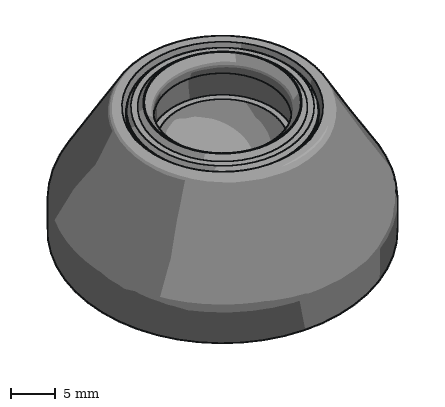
import cadquery as cq
import math

BASE_RADIUS = 19.5
BASE_HEIGHT = 5.0
BASE_FILLET = 2.0
TOP_RADIUS = 12.5
TOP_FACE_Z = 18.0
TOP_FILLET = 1.0

RIM_HEIGHT = 0.6
RIM_BOTTOM_RADIUS = 9.45
RIM_CREST_OUTER_RADIUS = 8.83
RIM_CREST_INNER_RADIUS = 8.7

GROOVE_OUTER_RADIUS = 11.2
GROOVE_FLOOR_OUTER_RADIUS = 10.77
GROOVE_FLOOR_INNER_RADIUS = 10.67
GROOVE_INNER_RADIUS = 10.2
GROOVE_CHAMFER_DEPTH = 0.5
GROOVE_DEPTH = 0.9

MOUTH_HALF_ANGLE = 45.0
THROAT_RADIUS = 7.67
THROAT_FILLET = 1.0
THROAT_BOTTOM_Z = 16.4
CHAMBER_RADIUS = 8.1
CHAMBER_FLOOR_Z = 12.9
SEAT_EDGE_RADIUS = 7.35
SEAT_SPHERE_RADIUS = 8.0

RIM_TOP_Z = TOP_FACE_Z + RIM_HEIGHT


def revolve(profile):
    """Turn a closed (radius, z) profile fully about the Z axis."""
    return profile.close().revolve(360, (0, 0, 0), (0, 1, 0))


def make_body():
    outline = (
        cq.Workplane("XZ")
        .lineTo(BASE_RADIUS, 0)
        .lineTo(BASE_RADIUS, BASE_HEIGHT)
        .lineTo(TOP_RADIUS, TOP_FACE_Z)
        .lineTo(0, TOP_FACE_Z)
    )
    body = revolve(outline)
    body = body.faces(">Z").edges().fillet(TOP_FILLET)
    shoulder = cq.selectors.NearestToPointSelector((0, 0, BASE_HEIGHT))
    return body.edges(shoulder).fillet(BASE_FILLET)


def make_rim():
    outline = (
        cq.Workplane("XZ")
        .moveTo(0, TOP_FACE_Z)
        .lineTo(RIM_BOTTOM_RADIUS, TOP_FACE_Z)
        .lineTo(RIM_CREST_OUTER_RADIUS, RIM_TOP_Z)
        .lineTo(0, RIM_TOP_Z)
    )
    return revolve(outline)


def make_groove():
    outline = (
        cq.Workplane("XZ")
        .moveTo(GROOVE_INNER_RADIUS, TOP_FACE_Z)
        .lineTo(GROOVE_FLOOR_INNER_RADIUS, TOP_FACE_Z - GROOVE_CHAMFER_DEPTH)
        .lineTo(GROOVE_FLOOR_INNER_RADIUS, TOP_FACE_Z - GROOVE_DEPTH)
        .lineTo(GROOVE_FLOOR_OUTER_RADIUS, TOP_FACE_Z - GROOVE_DEPTH)
        .lineTo(GROOVE_OUTER_RADIUS, TOP_FACE_Z)
    )
    return revolve(outline)


def make_bore():
    mouth_angle = math.radians(MOUTH_HALF_ANGLE)
    fillet_top_radius = THROAT_RADIUS + THROAT_FILLET * (1 - math.cos(mouth_angle))
    fillet_top_z = RIM_TOP_Z - (RIM_CREST_INNER_RADIUS - fillet_top_radius) / math.tan(mouth_angle)
    fillet_bottom_z = fillet_top_z - THROAT_FILLET * math.sin(mouth_angle)
    fillet_mid_angle = mouth_angle / 2
    fillet_mid = (
        THROAT_RADIUS + THROAT_FILLET * (1 - math.cos(fillet_mid_angle)),
        fillet_bottom_z + THROAT_FILLET * math.sin(fillet_mid_angle),
    )

    sphere_center_z = CHAMBER_FLOOR_Z + math.sqrt(SEAT_SPHERE_RADIUS**2 - SEAT_EDGE_RADIUS**2)
    seat_mid_angle = math.asin(SEAT_EDGE_RADIUS / SEAT_SPHERE_RADIUS) / 2
    seat_mid = (
        SEAT_SPHERE_RADIUS * math.sin(seat_mid_angle),
        sphere_center_z - SEAT_SPHERE_RADIUS * math.cos(seat_mid_angle),
    )
    seat_bottom_z = sphere_center_z - SEAT_SPHERE_RADIUS

    outline = (
        cq.Workplane("XZ")
        .moveTo(0, RIM_TOP_Z)
        .lineTo(RIM_CREST_INNER_RADIUS, RIM_TOP_Z)
        .lineTo(fillet_top_radius, fillet_top_z)
        .threePointArc(fillet_mid, (THROAT_RADIUS, fillet_bottom_z))
        .lineTo(THROAT_RADIUS, THROAT_BOTTOM_Z)
        .lineTo(CHAMBER_RADIUS, THROAT_BOTTOM_Z)
        .lineTo(CHAMBER_RADIUS, CHAMBER_FLOOR_Z)
        .lineTo(SEAT_EDGE_RADIUS, CHAMBER_FLOOR_Z)
        .threePointArc(seat_mid, (0, seat_bottom_z))
    )
    return revolve(outline)


result = make_body().union(make_rim()).cut(make_groove()).cut(make_bore())